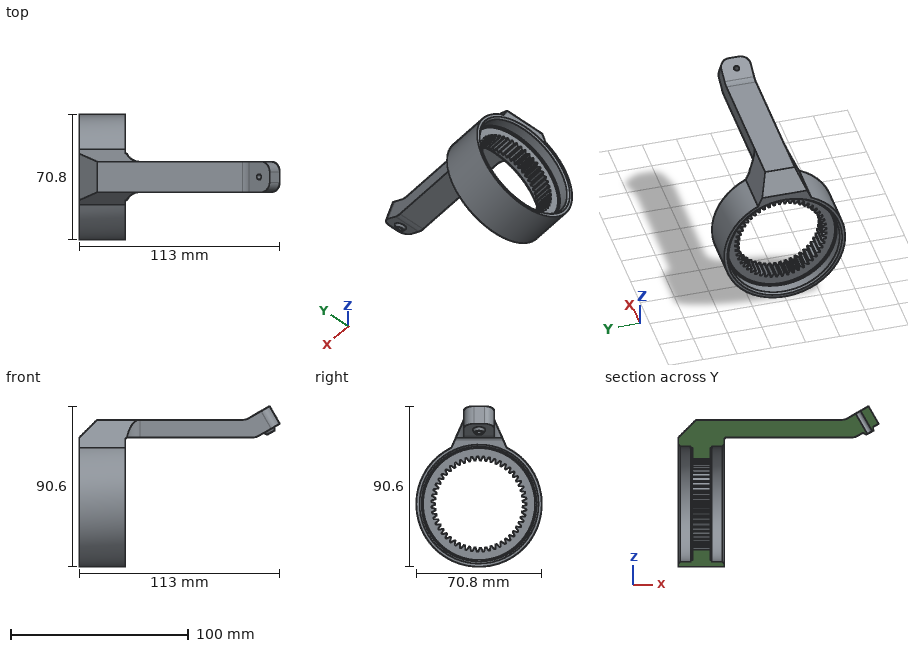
import cadquery as cq
import math

ring_diameter = 70.8
ring_radius = ring_diameter / 2
ring_width = 26.0
rim_radius = 33.6
seat_radius = 32.4
shoulder_radius = 31.5
taper_depth = 1.1
seat_depth = 7.0
relief_depth = 7.9

tooth_count = 51
pitch_radius = 25.5
dedendum_factor = 1.25
module = 2 * pitch_radius / tooth_count
tip_radius = pitch_radius - module
root_radius = pitch_radius + dedendum_factor * module
flank_angle = math.radians(20)

arm_top = 47.5
arm_thickness = 10.0
arm_width = 17.3
arm_bottom = arm_top - arm_thickness
front_chamfer = arm_thickness
neck_fillet = 8.0
underside_fillet = 1.2

neck_foot_half_width = 15.6
neck_foot_height = math.sqrt(ring_radius**2 - neck_foot_half_width**2)

tip_angle = math.radians(30)
tip_thickness = 11.5
tip_end_x = 113.0
overall_height = 90.6
tip_top_z = overall_height - ring_radius
bend_radius = 7.5
tip_corner_radius = 5.6
hole_diameter = 2.9
hole_to_end = 6.9
boss_diameter = 7.0
boss_height = 1.8
boss_taper = 30.0

tip_along = (math.cos(tip_angle), math.sin(tip_angle))
tip_up = (-math.sin(tip_angle), math.cos(tip_angle))
end_bottom = (tip_end_x, tip_top_z - tip_thickness * tip_up[1])
end_top = (tip_end_x + tip_thickness * tip_up[0], tip_top_z)


def bend_x(corner, height):
    """X where the tip face through `corner` meets the level arm face at `height`."""
    return corner[0] - (corner[1] - height) / math.tan(tip_angle)


def make_arm():
    """Side profile, cut to the flared neck section and to the plan outline."""
    top_bend = (bend_x(end_top, arm_top), arm_top)
    bottom_bend = (bend_x(end_bottom, arm_bottom), arm_bottom)
    side = (
        cq.Workplane("XZ")
        .moveTo(0, neck_foot_height)
        .lineTo(0, arm_top - front_chamfer)
        .lineTo(front_chamfer, arm_top)
        .lineTo(*top_bend)
        .lineTo(*end_top)
        .lineTo(*end_bottom)
        .lineTo(*bottom_bend)
        .lineTo(ring_width + underside_fillet, arm_bottom)
        .radiusArc((ring_width, arm_bottom - underside_fillet), -underside_fillet)
        .lineTo(ring_width, neck_foot_height)
        .close()
        .extrude(ring_radius, both=True)
    )
    for x, z in (top_bend, bottom_bend):
        side = side.edges(cq.selectors.NearestToPointSelector((x, 0, z))).fillet(bend_radius)

    half = arm_width / 2
    section = (
        cq.Workplane("YZ")
        .polyline([
            (-neck_foot_half_width, neck_foot_height),
            (neck_foot_half_width, neck_foot_height),
            (half, arm_top),
            (half, tip_top_z),
            (-half, tip_top_z),
            (-half, arm_top),
        ])
        .close()
        .extrude(tip_end_x)
    )

    flare = half + neck_fillet
    fillet_end = ring_width + neck_fillet
    plan = (
        cq.Workplane("XY")
        .moveTo(0, -flare)
        .lineTo(ring_width, -flare)
        .radiusArc((fillet_end, -half), neck_fillet)
        .lineTo(tip_end_x, -half)
        .lineTo(tip_end_x, half)
        .lineTo(fillet_end, half)
        .radiusArc((ring_width, flare), neck_fillet)
        .lineTo(0, flare)
        .close()
        .extrude(tip_top_z)
    )
    arm = side.intersect(section).intersect(plan)

    end_middle = ((end_top[0] + end_bottom[0]) / 2, (end_top[1] + end_bottom[1]) / 2)
    for y in (-half, half):
        corner = cq.selectors.NearestToPointSelector((end_middle[0], y, end_middle[1]))
        arm = arm.edges(corner).fillet(tip_corner_radius)
    return arm


def add_tip_boss(arm):
    """Tapered boss under the tip, with a hole through tip and boss."""
    base = (
        end_bottom[0] - hole_to_end * tip_along[0],
        0,
        end_bottom[1] - hole_to_end * tip_along[1],
    )
    down = (-tip_up[0], 0, -tip_up[1])
    under_tip = cq.Workplane(cq.Plane(origin=base, xDir=(0, 1, 0), normal=down))
    boss = under_tip.circle(boss_diameter / 2).extrude(boss_height, taper=boss_taper)
    hole = (
        under_tip.workplane(offset=-tip_thickness)
        .circle(hole_diameter / 2)
        .extrude(tip_thickness + boss_height)
    )
    return arm.union(boss).cut(hole)


def make_bore():
    """Stepped bore, the same from both ends, leaving the gear band at the tip radius."""
    front_steps = [
        (0, rim_radius),
        (taper_depth, seat_radius),
        (seat_depth, seat_radius),
        (seat_depth, shoulder_radius),
        (relief_depth, shoulder_radius),
        (relief_depth, tip_radius),
    ]
    rear_steps = [(ring_width - x, radius) for x, radius in reversed(front_steps)]
    return (
        cq.Workplane("XY")
        .polyline([(0, 0)] + front_steps + rear_steps + [(ring_width, 0)])
        .close()
        .revolve(360, (0, 0, 0), (1, 0, 0))
    )


def make_tooth_gaps():
    """Gear-shaped cutter whose lobes are the gaps between the internal teeth."""
    pitch_step = 2 * math.pi / tooth_count

    def gap_half_angle(radius):
        half_width = pitch_radius * pitch_step / 4 - (radius - pitch_radius) * math.tan(flank_angle)
        return half_width / radius

    root_half = gap_half_angle(root_radius)
    tip_half = gap_half_angle(tip_radius)
    points = []
    for i in range(tooth_count):
        middle = i * pitch_step
        for radius, offset in (
            (tip_radius, -tip_half),
            (root_radius, -root_half),
            (root_radius, root_half),
            (tip_radius, tip_half),
        ):
            angle = middle + offset
            points.append((radius * math.cos(angle), radius * math.sin(angle)))
    return (
        cq.Workplane("YZ", origin=(relief_depth, 0, 0))
        .polyline(points)
        .close()
        .extrude(ring_width - 2 * relief_depth)
    )


ring = cq.Workplane("YZ").circle(ring_radius).extrude(ring_width)
body = ring.union(add_tip_boss(make_arm()))
result = body.cut(make_bore()).cut(make_tooth_gaps())